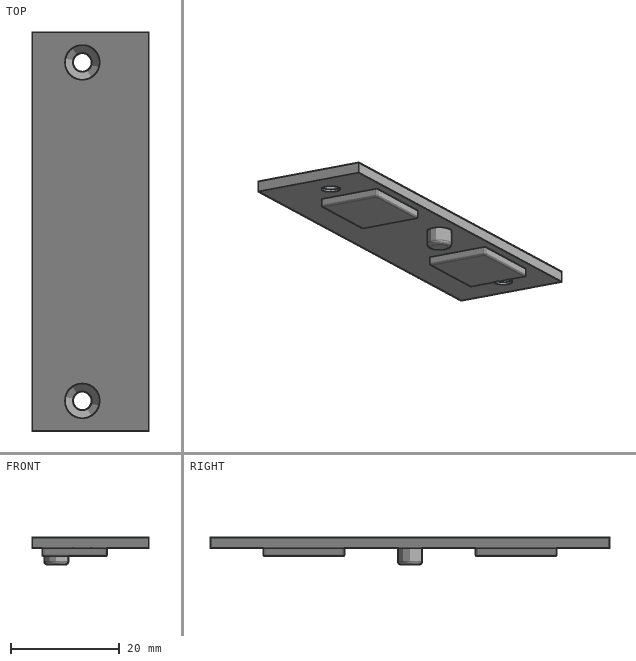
import cadquery as cq

plate_width = 21.5
plate_length = 73.4
plate_thickness = 2.0

hole_diameter = 3.4
countersink_diameter = 6.4
countersink_angle = 90.0
hole_x = 9.25
hole_end_distance = 5.6
hole_y = plate_length / 2 - hole_end_distance

pad_width = 12.0
pad_length = 15.0
pad_height = 1.5
pad_left = 1.8
pad_end_distance = 9.7
pad_edge_round = 0.3
pad_x = pad_left + pad_width / 2
pad_y = plate_length / 2 - pad_end_distance - pad_length / 2

pin_diameter = 4.5
pin_height = 3.1
pin_tip_round = 0.65
pin_x = 4.5


def make_plate():
    plate = cq.Workplane("XY").box(
        plate_width, plate_length, plate_thickness, centered=(False, True, False)
    )
    return plate.translate((0, 0, -plate_thickness))


def underside(x, y):
    """Workplane on the underside of the plate, facing up."""
    return cq.Workplane("XY", origin=(x, y, -plate_thickness))


def make_pad(y):
    pad = underside(pad_x, y).rect(pad_width, pad_length).extrude(-pad_height)
    return pad.edges("|Z or <Z").fillet(pad_edge_round)


def make_pin():
    pin = underside(pin_x, 0).circle(pin_diameter / 2).extrude(-pin_height)
    return pin.faces("<Z").edges().fillet(pin_tip_round)


def cut_screw_holes(body):
    return (
        body.faces(">Z")
        .workplane(origin=(0, 0, 0))
        .pushPoints([(hole_x, -hole_y), (hole_x, hole_y)])
        .cskHole(hole_diameter, countersink_diameter, countersink_angle, depth=plate_thickness)
    )


result = cut_screw_holes(make_plate())
for side in (-1, 1):
    result = result.union(make_pad(side * pad_y))
result = result.union(make_pin())